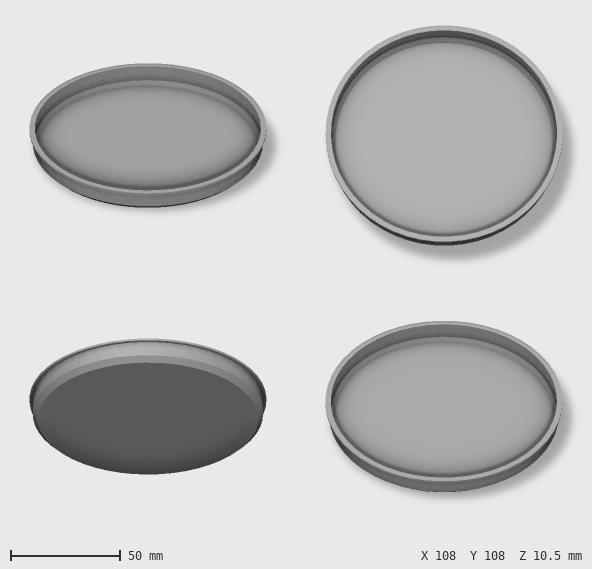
import cadquery as cq

height = 10.5
rim_diameter = 108.0
rim_thickness = 1.0

body_diameter = 105.0
bottom_chamfer = 2.5

cavity_diameter = 103.0
floor_thickness = 1.0
floor_chamfer = 1.9

rim_radius = rim_diameter / 2
body_radius = body_diameter / 2
cavity_radius = cavity_diameter / 2

section = (
    cq.Workplane("XZ")
    .moveTo(0, 0)
    .lineTo(body_radius - bottom_chamfer, 0)
    .lineTo(body_radius, bottom_chamfer)
    .lineTo(body_radius, height - rim_thickness)
    .lineTo(rim_radius, height - rim_thickness)
    .lineTo(rim_radius, height)
    .lineTo(cavity_radius, height)
    .lineTo(cavity_radius, floor_thickness + floor_chamfer)
    .lineTo(cavity_radius - floor_chamfer, floor_thickness)
    .lineTo(0, floor_thickness)
    .close()
)

result = section.revolve(360, (0, 0), (0, 1))